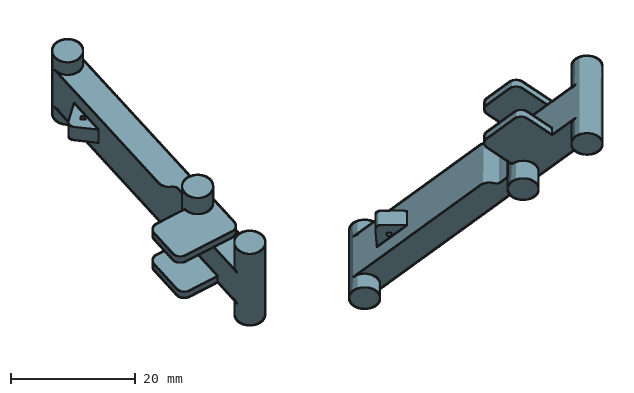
import cadquery as cq
import math

total_length = 56.3
pin_diameter = 5.0
pin_radius = pin_diameter / 2
arm_pin_height = 15.1
middle_pin_height = 16.85
end_pin_height = 17.3
middle_pin_x = 36.5
end_pin_x = total_length - pin_diameter
link_y = 0.3

arm_height = 9.0
neck_back_y = 1.45
neck_front_y = -0.6
back_round_radius = pin_radius - neck_back_y
back_neck_x = 31.6
front_round_start_x = 29.4
front_round_end = (31.3, -1.25)
neck_start_x = 32.15
neck_end_x = 33.5

catch_x = 8.95
catch_height = 3.2
catch_half_width = 3.5
catch_depth = 3.8
catch_tip_radius = 1.0
catch_hole_diameter = 0.8
catch_hole_offset = 0.6

tab_thickness = 1.5
tab_depth = 12.0
tab_corner_radius = 1.45
upper_tab_length = 8.2
lower_tab_length = 9.35
link_bottom_z = -arm_height / 2
link_top_z = arm_height / 2 - tab_thickness


def make_pin(x, y, height):
    """Upright pin centred on mid-height."""
    return cq.Workplane("XY", origin=(x, y, -height / 2)).circle(pin_radius).extrude(height)


def make_arm():
    """Flat arm with rounded shoulders and a neck that flares into the middle pin."""
    run = middle_pin_x - neck_end_x
    rise = link_y - neck_front_y
    flare_radius = (run**2 + rise**2 - pin_radius**2) / (2 * (pin_radius - rise))
    flare_share = flare_radius / (flare_radius + pin_radius)
    flare_end = (
        neck_end_x + flare_share * run,
        neck_front_y - flare_radius + flare_share * (rise + flare_radius),
    )
    back_round_mid = (
        back_neck_x - back_round_radius * (1 - math.sqrt(0.5)),
        neck_back_y + back_round_radius * math.sqrt(0.5),
    )
    return (
        cq.Workplane("XY")
        .moveTo(0, -pin_radius)
        .lineTo(front_round_start_x, -pin_radius)
        .tangentArcPoint(front_round_end, relative=False)
        .tangentArcPoint((neck_start_x, neck_front_y), relative=False)
        .lineTo(neck_end_x, neck_front_y)
        .tangentArcPoint(flare_end, relative=False)
        .lineTo(middle_pin_x, link_y)
        .lineTo(middle_pin_x, neck_back_y)
        .lineTo(back_neck_x, neck_back_y)
        .threePointArc(back_round_mid, (back_neck_x - back_round_radius, pin_radius))
        .lineTo(0, pin_radius)
        .close()
        .extrude(arm_height / 2, both=True)
    )


def make_catch():
    """Triangular catch with a rounded tip and a small hole along Z."""
    catch = (
        cq.Workplane("XY")
        .moveTo(catch_x - catch_half_width, -pin_radius)
        .lineTo(catch_x, -pin_radius - catch_depth)
        .lineTo(catch_x + catch_half_width, -pin_radius)
        .close()
        .extrude(catch_height / 2, both=True)
        .edges("|Z and <Y")
        .fillet(catch_tip_radius)
    )
    hole = (
        cq.Workplane("XY")
        .center(catch_x, -pin_radius - catch_hole_offset)
        .circle(catch_hole_diameter / 2)
        .extrude(catch_height, both=True)
    )
    return catch.cut(hole)


def make_link():
    """Plain bar joining the middle and end pins."""
    return (
        cq.Workplane("XY", origin=(middle_pin_x, link_y - pin_radius, link_bottom_z))
        .rect(end_pin_x - middle_pin_x, pin_diameter, centered=False)
        .extrude(link_top_z - link_bottom_z)
    )


def make_tab(length, bottom_z):
    """Plate from the back of the link out past its front, rounded at the three free corners."""
    front_y = link_y + pin_radius - tab_depth
    return (
        cq.Workplane("XY", origin=(middle_pin_x, front_y, bottom_z))
        .rect(length, tab_depth, centered=False)
        .extrude(tab_thickness)
        .edges("|Z and (>X or <Y)")
        .fillet(tab_corner_radius)
    )


result = (
    make_arm()
    .union(make_catch())
    .union(make_link())
    .union(make_tab(upper_tab_length, link_top_z))
    .union(make_tab(lower_tab_length, link_bottom_z))
    .union(make_pin(0, 0, arm_pin_height))
    .union(make_pin(middle_pin_x, link_y, middle_pin_height))
    .union(make_pin(end_pin_x, link_y, end_pin_height))
)